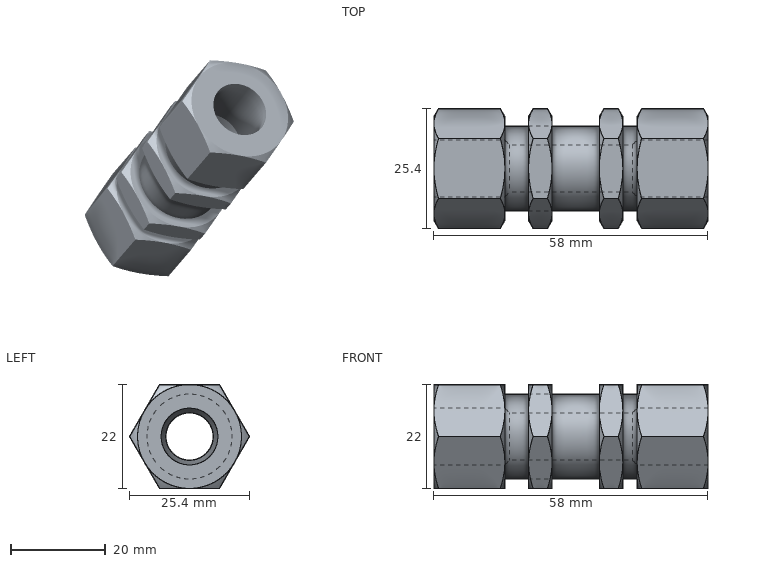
import cadquery as cq
import math

HEX_ACROSS_FLATS = 22.0
END_HEX_LENGTH = 15.0
THIN_HEX_LENGTH = 5.0
LOCK_NUT_GAP = 5.0
CLAMP_GAP = 10.0
COLLAR_GAP = 3.0
SHANK_DIAMETER = 18.0
BORE_DIAMETER = 10.0
SOCKET_DIAMETER = 12.0
SOCKET_DEPTH = END_HEX_LENGTH
HEX_CHAMFER_ANGLE = 30.0
SOCKET_CONE_ANGLE = 90.0

LOCK_NUT_START = END_HEX_LENGTH + LOCK_NUT_GAP
COLLAR_START = LOCK_NUT_START + THIN_HEX_LENGTH + CLAMP_GAP
RIGHT_HEX_START = COLLAR_START + THIN_HEX_LENGTH + COLLAR_GAP
TOTAL_LENGTH = RIGHT_HEX_START + END_HEX_LENGTH

HEX_ACROSS_CORNERS = HEX_ACROSS_FLATS / math.cos(math.radians(30))
FLAT_RADIUS = HEX_ACROSS_FLATS / 2
CORNER_RADIUS = HEX_ACROSS_CORNERS / 2
CHAMFER_LENGTH = (CORNER_RADIUS - FLAT_RADIUS) * math.tan(math.radians(HEX_CHAMFER_ANGLE))
BORE_RADIUS = BORE_DIAMETER / 2
SOCKET_RADIUS = SOCKET_DIAMETER / 2
CONE_LENGTH = (SOCKET_RADIUS - BORE_RADIUS) / math.tan(math.radians(SOCKET_CONE_ANGLE / 2))


def cylinder(start, length, diameter):
    """Cylinder along X."""
    return cq.Workplane("YZ", origin=(start, 0, 0)).circle(diameter / 2).extrude(length)


def revolve_about_x(points):
    """Solid of revolution from (x, radius) points."""
    return cq.Workplane("XY").polyline(points).close().revolve(360, (0, 0, 0), (1, 0, 0))


def chamfered_hex(start, length):
    """Hexagon along X with corners on +Y and -Y, its corners chamfered at both ends."""
    end = start + length
    prism = (
        cq.Workplane("YZ", origin=(start, 0, 0))
        .polygon(6, HEX_ACROSS_CORNERS)
        .extrude(length)
    )
    envelope = revolve_about_x([
        (start, 0),
        (start, FLAT_RADIUS),
        (start + CHAMFER_LENGTH, CORNER_RADIUS),
        (end - CHAMFER_LENGTH, CORNER_RADIUS),
        (end, FLAT_RADIUS),
        (end, 0),
    ])
    return prism.intersect(envelope)


def make_passage():
    """Through bore that widens by a cone into a tube socket at each end."""
    cone_end = SOCKET_DEPTH + CONE_LENGTH
    return revolve_about_x([
        (0, 0),
        (0, SOCKET_RADIUS),
        (SOCKET_DEPTH, SOCKET_RADIUS),
        (cone_end, BORE_RADIUS),
        (TOTAL_LENGTH - cone_end, BORE_RADIUS),
        (TOTAL_LENGTH - SOCKET_DEPTH, SOCKET_RADIUS),
        (TOTAL_LENGTH, SOCKET_RADIUS),
        (TOTAL_LENGTH, 0),
    ])


def make_fitting():
    """Round shank with a hex at each end and a fixed hex collar."""
    left_hex = chamfered_hex(0, END_HEX_LENGTH)
    right_hex = chamfered_hex(RIGHT_HEX_START, END_HEX_LENGTH)
    collar = chamfered_hex(COLLAR_START, THIN_HEX_LENGTH)
    shank = cylinder(END_HEX_LENGTH, RIGHT_HEX_START - END_HEX_LENGTH, SHANK_DIAMETER)
    return shank.union(left_hex).union(right_hex).union(collar).cut(make_passage())


def make_lock_nut():
    """Thin hex nut that fits around the shank."""
    hole = cylinder(LOCK_NUT_START, THIN_HEX_LENGTH, SHANK_DIAMETER)
    return chamfered_hex(LOCK_NUT_START, THIN_HEX_LENGTH).cut(hole)


fitting = make_fitting()
lock_nut = make_lock_nut()
result = cq.Compound.makeCompound([fitting.solids().val(), lock_nut.solids().val()])